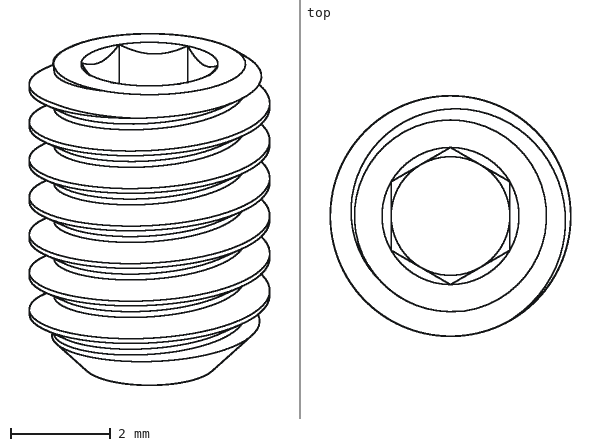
import cadquery as cq
import math

INCH = 25.4
LENGTH = INCH / 4
MAJOR_DIAMETER = 0.19 * INCH
MAJOR_RADIUS = MAJOR_DIAMETER / 2
THREADS_PER_INCH = 32
PITCH = INCH / THREADS_PER_INCH

FLANK_ANGLE = 30.0
FLANK_SLOPE = math.tan(math.radians(FLANK_ANGLE))
CREST_FLAT = PITCH / 8
ROOT_FLAT = 0.122
THREAD_DEPTH = (PITCH - CREST_FLAT - ROOT_FLAT) / 2 / FLANK_SLOPE
ROOT_RADIUS = MAJOR_RADIUS - THREAD_DEPTH
CREST_BELOW_TOP = 0.945
TURNS_ABOVE_CREST = 2
RIDGE_EMBED = 0.04

TOP_FACE_RADIUS = 1.926
TOP_CHAMFER_ANGLE = 35.0
POINT_RADIUS = 1.325
POINT_ANGLE = 45.0
ENVELOPE_MARGIN = 0.3

HEX_ACROSS_FLATS = INCH * 3 / 32
HEX_CORNER_RADIUS = HEX_ACROSS_FLATS / math.sqrt(3)
HEX_DEPTH = 1.47
COUNTERSINK_ANGLE = 90.0
DRILL_RADIUS = HEX_ACROSS_FLATS / 2
DRILL_POINT_ANGLE = 120.0


def threaded_rod():
    """Root-diameter core with a right-hand helical ridge, longer than the screw at both ends."""
    top_crest = LENGTH - CREST_BELOW_TOP
    turns_down = math.ceil(top_crest / PITCH)
    start = top_crest - turns_down * PITCH
    ridge_height = (turns_down + TURNS_ABOVE_CREST) * PITCH
    helix = cq.Wire.makeHelix(PITCH, ridge_height, ROOT_RADIUS, cq.Vector(0, 0, start))

    inner_radius = ROOT_RADIUS - RIDGE_EMBED
    inner_half = (PITCH - ROOT_FLAT) / 2 + RIDGE_EMBED * FLANK_SLOPE
    crest_half = CREST_FLAT / 2
    ridge = (
        cq.Workplane("XZ")
        .moveTo(inner_radius, start - inner_half)
        .lineTo(MAJOR_RADIUS, start - crest_half)
        .lineTo(MAJOR_RADIUS, start + crest_half)
        .lineTo(inner_radius, start + inner_half)
        .close()
        .sweep(cq.Workplane(helix), isFrenet=True)
    )
    core_bottom = start - PITCH
    core_top = start + ridge_height + PITCH
    core = (
        cq.Workplane("XY", origin=(0, 0, core_bottom))
        .circle(ROOT_RADIUS)
        .extrude(core_top - core_bottom)
    )
    return core.union(ridge)


def end_envelope():
    """Turned shape, wider than the thread, that trims the rod to length and tapers its ends."""
    outer_radius = MAJOR_RADIUS + ENVELOPE_MARGIN
    point_height = (outer_radius - POINT_RADIUS) * math.tan(math.radians(POINT_ANGLE))
    chamfer_height = (outer_radius - TOP_FACE_RADIUS) * math.tan(math.radians(TOP_CHAMFER_ANGLE))
    return (
        cq.Workplane("XZ")
        .moveTo(0, 0)
        .lineTo(POINT_RADIUS, 0)
        .lineTo(outer_radius, point_height)
        .lineTo(outer_radius, LENGTH - chamfer_height)
        .lineTo(TOP_FACE_RADIUS, LENGTH)
        .lineTo(0, LENGTH)
        .close()
        .revolve(360, (0, 0, 0), (0, 1, 0))
    )


def cone_down(radius, included_angle, base_z):
    """Pointed cone on the Z axis, base at the given height and apex below it."""
    height = radius / math.tan(math.radians(included_angle / 2))
    base = cq.Vector(0, 0, base_z)
    downward = cq.Vector(0, 0, -1)
    return cq.Workplane(cq.Solid.makeCone(radius, 0, height, base, downward))


def hex_socket():
    """Hex recess, countersink out to the hex corners, conical drilled floor."""
    floor = LENGTH - HEX_DEPTH
    hexagon = (
        cq.Workplane("XY", origin=(0, 0, floor))
        .transformed(rotate=(0, 0, 90))
        .polygon(6, 2 * HEX_CORNER_RADIUS)
        .extrude(HEX_DEPTH)
    )
    countersink = cone_down(HEX_CORNER_RADIUS, COUNTERSINK_ANGLE, LENGTH)
    drill_tip = cone_down(DRILL_RADIUS, DRILL_POINT_ANGLE, floor)
    return hexagon.union(countersink).union(drill_tip)


result = threaded_rod().intersect(end_envelope()).cut(hex_socket())